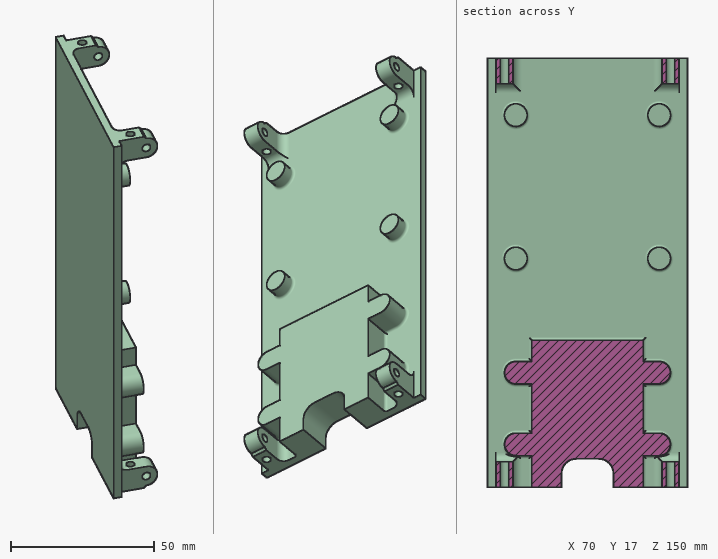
import cadquery as cq

plate_width = 70.0
plate_height = 150.0
plate_thickness = 3.0

notch_width = 18.0
notch_height = 9.9
notch_corner_radius = 5.0

overall_depth = 17.0
lug_width = 6.0
lug_inset = 3.0
lug_height = 9.0
lug_end_radius = 4.0
lug_fillet = 3.0
lug_hole_diameter = 3.0
lug_pivot_y = overall_depth - lug_end_radius
lug_inner_z = plate_height - lug_height
lug_pivot_z = lug_inner_z + lug_end_radius
lug_step = lug_height - 2 * lug_end_radius
lug_center_x = plate_width / 2 - lug_inset - lug_width / 2
lug_inner_x = lug_center_x - lug_width / 2
cross_hole_y = 8.0

boss_diameter = 8.0
boss_radius = boss_diameter / 2
boss_x = 25.0
boss_end_y = 8.0
boss_levels = (80.0, 130.0)
base_fillet = 1.0

selection_margin = 0.2

block_width = 39.0
block_height = 51.5
block_end_y = lug_pivot_y
ear_levels = (15.0, 40.0)


def make_plate():
    return cq.Workplane("XY").box(
        plate_width, plate_thickness, plate_height, centered=(True, False, False)
    )


def make_boss(x, z):
    """Round post on the back of the plate."""
    return (
        cq.Workplane("XZ", origin=(x, plate_thickness, z))
        .circle(boss_radius)
        .extrude(plate_thickness - boss_end_y)
    )


def make_block():
    """Plain block plus two full-depth, round-ended ears per side."""
    depth = block_end_y - plate_thickness
    block = cq.Workplane("XY", origin=(0, plate_thickness, 0)).box(
        block_width, depth, block_height, centered=(True, False, False)
    )
    for z in ear_levels:
        ears = (
            cq.Workplane("XZ", origin=(0, plate_thickness, z))
            .slot2D(2 * boss_x + boss_diameter, boss_diameter)
            .extrude(-depth)
        )
        block = block.union(ears)
    return block


def make_lug():
    """Top lug on the +X side: rounded tip, stepped down by a 45 degree slope at the outer edge."""
    outer_z = lug_pivot_z + lug_end_radius
    return (
        cq.Workplane("YZ", origin=(lug_inner_x, 0, 0))
        .moveTo(0, plate_height)
        .lineTo(lug_pivot_y - lug_step, plate_height)
        .lineTo(lug_pivot_y, outer_z)
        .threePointArc((overall_depth, lug_pivot_z), (lug_pivot_y, lug_inner_z))
        .lineTo(0, lug_inner_z)
        .close()
        .extrude(lug_width)
    )


def make_lug_holes():
    """Pivot hole along X and cross hole along Z for the top lug on the +X side."""
    radius = lug_hole_diameter / 2
    pivot_hole = (
        cq.Workplane("YZ", origin=(lug_inner_x, lug_pivot_y, lug_pivot_z))
        .circle(radius)
        .extrude(lug_width)
    )
    cross_hole = (
        cq.Workplane("XY", origin=(lug_center_x, cross_hole_y, lug_inner_z))
        .circle(radius)
        .extrude(lug_height)
    )
    return pivot_hole.union(cross_hole)


def at_four_corners(shape):
    """Mirror a shape at the top +X corner to all four plate corners."""
    top_pair = shape.union(shape.mirror("YZ"))
    return top_pair.union(top_pair.mirror("XY", (0, 0, plate_height / 2)))


def blend_into_plate(body, max_x, radius):
    """Fillet the edges on the back of the plate whose centres lie within max_x of the middle."""
    corner_low = (-max_x, plate_thickness - selection_margin, selection_margin)
    corner_high = (
        max_x,
        plate_thickness + selection_margin,
        plate_height - selection_margin,
    )
    return body.edges(cq.selectors.BoxSelector(corner_low, corner_high)).fillet(radius)


def make_plate_with_mounts():
    """Plate with the block and bosses, blended in at their feet."""
    body = make_plate().union(make_block())
    for z in boss_levels:
        for x in (-boss_x, boss_x):
            body = body.union(make_boss(x, z))
    reach_x = boss_x + boss_radius
    return blend_into_plate(body, reach_x, base_fillet)


def make_plate_with_lugs():
    """Plate with the lugs, blended in on their inner sides only."""
    body = make_plate().union(at_four_corners(make_lug()))
    reach_x = lug_center_x + selection_margin
    return blend_into_plate(body, reach_x, lug_fillet)


def make_notch():
    """Round-cornered opening that runs the full depth of the part."""
    return (
        cq.Workplane("XY")
        .box(notch_width, overall_depth, notch_height, centered=(True, False, False))
        .edges("|Y and >Z")
        .fillet(notch_corner_radius)
    )


result = (
    make_plate_with_mounts()
    .union(make_plate_with_lugs())
    .cut(at_four_corners(make_lug_holes()))
    .cut(make_notch())
)